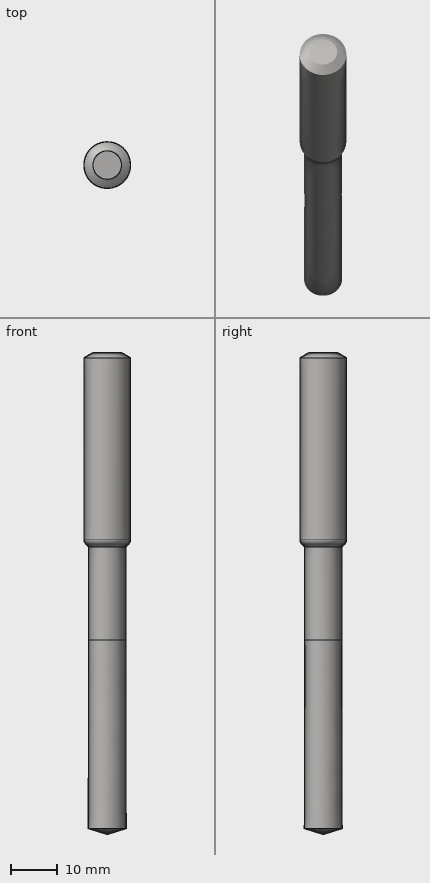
import cadquery as cq
import math

TOTAL_LENGTH = 103.0

SHANK_DIAMETER = 10.0
SHANK_LENGTH = 40.0
SHANK_TOP_DIAMETER = 6.1
TOP_CHAMFER_ANGLE = 30.0
SHOULDER_EDGE_RADIUS = 1.3
SHOULDER_ANGLE = 45.0

NECK_DIAMETER = 8.0
NECK_LENGTH = 19.9

HEAD_DIAMETER = 8.1
POINT_ANGLE = 145.0

shank_radius = SHANK_DIAMETER / 2
shank_top_radius = SHANK_TOP_DIAMETER / 2
neck_radius = NECK_DIAMETER / 2
head_radius = HEAD_DIAMETER / 2

top_chamfer_height = (shank_radius - shank_top_radius) * math.tan(math.radians(TOP_CHAMFER_ANGLE))
point_height = head_radius / math.tan(math.radians(POINT_ANGLE / 2))

shank_bottom = TOTAL_LENGTH - SHANK_LENGTH


def edge_arc_point(angle_degrees):
    """Point on the rounded shoulder edge, this far round from the shank's straight side."""
    angle = math.radians(angle_degrees)
    radius = shank_radius - SHOULDER_EDGE_RADIUS * (1 - math.cos(angle))
    height = shank_bottom - SHOULDER_EDGE_RADIUS * math.sin(angle)
    return radius, height


edge_middle = edge_arc_point(SHOULDER_ANGLE / 2)
edge_end = edge_arc_point(SHOULDER_ANGLE)
cone_height = (edge_end[0] - neck_radius) / math.tan(math.radians(SHOULDER_ANGLE))
neck_top = edge_end[1] - cone_height
head_top = neck_top - NECK_LENGTH


def revolve_outline(outline):
    """Close a (radius, height) outline and revolve it a full turn about the Z axis."""
    return outline.close().revolve(360, (0, 0), (0, 1))


def make_shank():
    """Chamfered shank, rounded conical shoulder and neck in one solid."""
    outline = (
        cq.Workplane("XZ")
        .moveTo(0, head_top)
        .lineTo(neck_radius, head_top)
        .lineTo(neck_radius, neck_top)
        .lineTo(*edge_end)
        .threePointArc(edge_middle, (shank_radius, shank_bottom))
        .lineTo(shank_radius, TOTAL_LENGTH - top_chamfer_height)
        .lineTo(shank_top_radius, TOTAL_LENGTH)
        .lineTo(0, TOTAL_LENGTH)
    )
    return revolve_outline(outline)


def make_cutting_head():
    """Slightly tapered head with its conical point at the origin."""
    outline = (
        cq.Workplane("XZ")
        .moveTo(0, 0)
        .lineTo(head_radius, point_height)
        .lineTo(neck_radius, head_top)
        .lineTo(0, head_top)
    )
    return revolve_outline(outline)


shank = make_shank()
cutting_head = make_cutting_head()

result = cq.Compound.makeCompound([shank.val(), cutting_head.val()])